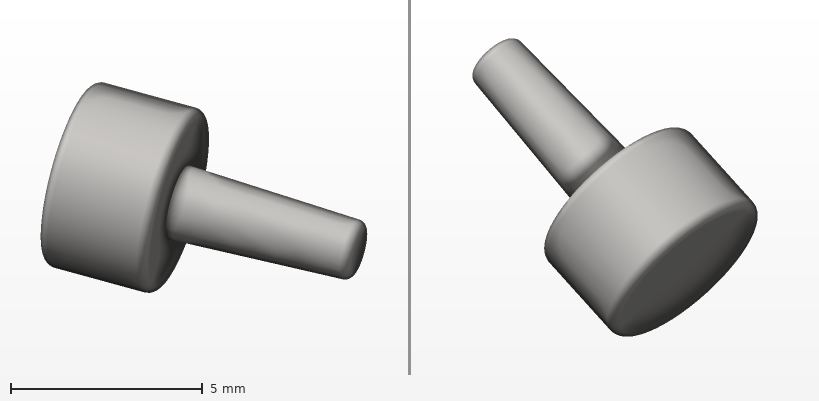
import cadquery as cq

total_length = 8.0
head_length = 3.0
head_diameter = 5.0
stem_base_diameter = 2.0
stem_tip_diameter = 1.6
edge_radius = 0.25


def make_head():
    """Cylindrical head with both rims rounded."""
    head = cq.Workplane("YZ").circle(head_diameter / 2).extrude(head_length)
    return head.edges().fillet(edge_radius)


def make_stem():
    """Stem tapering away from the head, with a rounded tip."""
    profile = [
        (head_length, 0),
        (head_length, stem_base_diameter / 2),
        (total_length, stem_tip_diameter / 2),
        (total_length, 0),
    ]
    stem = cq.Workplane("XY").polyline(profile).close().revolve(360, (0, 0, 0), (1, 0, 0))
    return stem.faces(">X").edges().fillet(edge_radius)


result = make_head().union(make_stem())